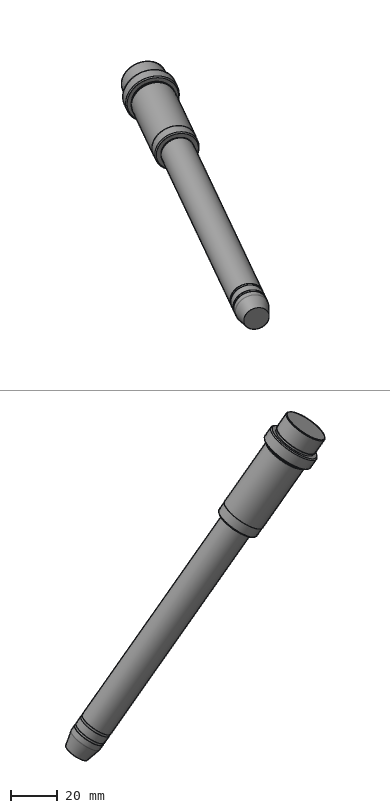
import cadquery as cq

total_length = 180.0

body_diameter = 20.0
body_end = 54.0
body_edge_chamfer = 0.5
pilot_edge_chamfer = 0.4
lead_in_length = 5.0
lead_in_diameter = 19.8

collar_diameter = 24.0
collar_start = 9.0
collar_end = 15.0
collar_edge_chamfer = 0.5

relief_width = 1.0
relief_diameter = 19.3

shaft_diameter = 15.0
tip_taper_length = 7.0
tip_end_diameter = 11.3

root_groove_width = 0.5
tip_groove_width = 1.0
groove_diameter = 14.8
tip_groove_starts = (164.3, 169.2)


def cylinder(start, end, diameter):
    """Solid cylinder along X from start to end."""
    return cq.Workplane("YZ", origin=(start, 0, 0)).circle(diameter / 2).extrude(end - start)


def cone(start, end, start_diameter, end_diameter):
    """Solid frustum along X."""
    return (
        cq.Workplane("XY")
        .moveTo(start, 0)
        .lineTo(start, start_diameter / 2)
        .lineTo(end, end_diameter / 2)
        .lineTo(end, 0)
        .close()
        .revolve(360, (0, 0, 0), (1, 0, 0))
    )


def cut_ring(part, start, width, floor_diameter):
    """Turn an annular groove down to floor_diameter."""
    outer_diameter = 2 * collar_diameter
    end = start + width
    ring = cylinder(start, end, outer_diameter).cut(cylinder(start, end, floor_diameter))
    return part.cut(ring)


lead_in_start = body_end - lead_in_length
pilot = cylinder(0, collar_start, body_diameter).faces("<X").chamfer(pilot_edge_chamfer)
collar = cylinder(collar_start, collar_end, collar_diameter).edges().chamfer(collar_edge_chamfer)
body = cylinder(collar_end, lead_in_start, body_diameter)
lead_in = cylinder(lead_in_start, body_end, lead_in_diameter).faces(">X").chamfer(body_edge_chamfer)
head = pilot.union(collar).union(body).union(lead_in)
head = cut_ring(head, collar_start - relief_width, relief_width, relief_diameter)
head = cut_ring(head, collar_end, relief_width, relief_diameter)

taper_start = total_length - tip_taper_length
shaft = cylinder(body_end, taper_start, shaft_diameter)
shaft = cut_ring(shaft, body_end, root_groove_width, groove_diameter)
for groove_start in tip_groove_starts:
    shaft = cut_ring(shaft, groove_start, tip_groove_width, groove_diameter)
tip = cone(taper_start, total_length, shaft_diameter, tip_end_diameter)

result = head.union(shaft).union(tip)